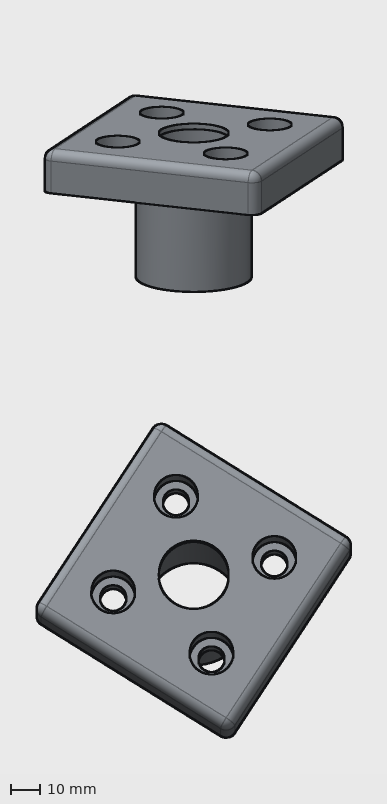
import cadquery as cq

plate_side = 80.0
plate_thickness = 15.0
edge_radius = 3.5

hub_diameter = 39.9
hub_length = 36.0

mouth_diameter = 24.0
mouth_depth = 2.0
bore_diameter = 32.0

bolt_spacing = 40.0
bolt_hole_diameter = 9.0
counterbore_diameter = 15.0
counterbore_depth = 9.0


def make_plate():
    """Plate with its underside at Z = 0, rounded on the corners and top rim."""
    plate = cq.Workplane("XY").box(
        plate_side, plate_side, plate_thickness, centered=(True, True, False)
    )
    return plate.edges("|Z or >Z").fillet(edge_radius)


def make_hub():
    """Cylinder hanging from the underside of the plate."""
    return cq.Workplane("XY").circle(hub_diameter / 2).extrude(-hub_length)


def cut_central_bore(body):
    """Cut the mouth right through, then widen the bore below it."""
    bore_length = hub_length + plate_thickness - mouth_depth
    wide_bore = (
        cq.Workplane("XY")
        .workplane(offset=-hub_length)
        .circle(bore_diameter / 2)
        .extrude(bore_length)
    )
    return body.faces(">Z").workplane().hole(mouth_diameter).cut(wide_bore)


def cut_bolt_holes(body):
    """Cut the four counterbored holes from the top face."""
    return (
        body.faces(">Z")
        .workplane()
        .rect(bolt_spacing, bolt_spacing, forConstruction=True)
        .vertices()
        .cboreHole(bolt_hole_diameter, counterbore_diameter, counterbore_depth)
    )


flange = make_plate().union(make_hub())
result = cut_bolt_holes(cut_central_bore(flange))